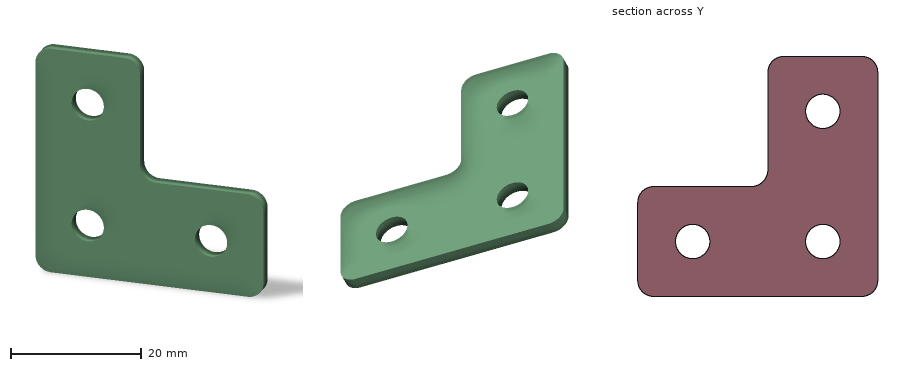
import cadquery as cq

side = 37.0
thickness = 2.0
arm_width = 17.0
corner_radius = 2.5
hole_diameter = 5.2

near = arm_width / 2
far = side - near
hole_centres = [(near, near), (far, near), (near, far)]


def l_plate():
    """L-shaped plate in the XZ plane with every corner rounded."""
    outline = [
        (0, 0),
        (side, 0),
        (side, arm_width),
        (arm_width, arm_width),
        (arm_width, side),
        (0, side),
    ]
    plate = cq.Workplane("XZ").polyline(outline).close().extrude(thickness)
    return plate.edges("|Y").fillet(corner_radius)


def hole_cutters():
    """Cylinders for the through holes."""
    return (
        cq.Workplane("XZ")
        .pushPoints(hole_centres)
        .circle(hole_diameter / 2)
        .extrude(thickness)
    )


result = l_plate().cut(hole_cutters())